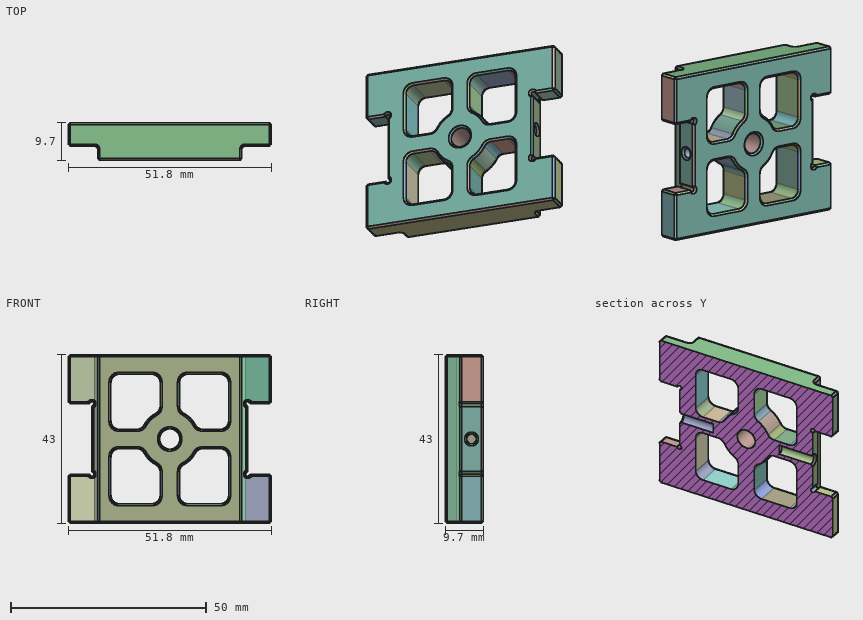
import cadquery as cq
import math

WIDTH = 51.8
THICKNESS = 9.7
HEIGHT = 43.0

CHAMFER = 0.5

FLANGE_THICKNESS = 6.0
PAD_WIDTH = 36.8
STEP_FILLET = 0.95

NOTCH_DEPTH = 6.0
NOTCH_HEIGHT = 18.05
RELIEF_RADIUS = 0.5
RELIEF_REACH = 2.05

CENTRE_HOLE_RADIUS = 2.6
BOSS_RADIUS = 7.45
RIB_WIDTH = 4.95
WINDOW_OUTER_X = 15.0
WINDOW_OUTER_Z = 16.5
WINDOW_FILLET = 2.05

SIDE_HOLE_RADIUS = 1.25
SIDE_HOLE_DEPTH = 10.0

FRONT_Y = -THICKNESS / 2
BACK_Y = THICKNESS / 2
STEP_Y = BACK_Y - FLANGE_THICKNESS
NOTCH_X = WIDTH / 2 - NOTCH_DEPTH
SIDE_HOLE_Y = BACK_Y - FLANGE_THICKNESS / 2

TOLERANCE = 5.18e-05


def stepped_plate():
    """T-shaped section, extruded along Z, with a fillet in each step corner."""
    plate = cq.Workplane("XY").box(WIDTH, THICKNESS, HEIGHT)
    step_width = (WIDTH - PAD_WIDTH) / 2
    step_depth = STEP_Y - FRONT_Y
    for side in (-1, 1):
        step = cq.Workplane("XY").box(step_width, step_depth, HEIGHT)
        step_x = side * (PAD_WIDTH + step_width) / 2
        plate = plate.cut(step.translate((step_x, FRONT_Y + step_depth / 2, 0)))
    inner_corners = cq.selectors.BoxSelector(
        (-PAD_WIDTH / 2 - TOLERANCE, STEP_Y - TOLERANCE, -HEIGHT),
        (PAD_WIDTH / 2 + TOLERANCE, STEP_Y + TOLERANCE, HEIGHT),
    )
    return plate.edges("|Z").edges(inner_corners).fillet(STEP_FILLET)


def cut_notches(plate):
    """Rectangular notch through the flange in the middle of each side edge."""
    for side in (-1, 1):
        notch = cq.Workplane("XY").box(NOTCH_DEPTH, THICKNESS, NOTCH_HEIGHT)
        plate = plate.cut(notch.translate((side * (NOTCH_X + NOTCH_DEPTH / 2), 0, 0)))
    return plate


def is_outer_edge(edge):
    """True for convex edges; false for notch corners and where the step fillets blend in."""
    centre = edge.Center()
    tangent = edge.tangentAt(0.5)
    along_y = abs(tangent.y) > 0.5 - TOLERANCE
    along_z = abs(tangent.z) > 0.5 - TOLERANCE
    in_notch_corner = along_y and abs(centre.x) < NOTCH_X + TOLERANCE
    fillet_top_x = PAD_WIDTH / 2 + STEP_FILLET
    blends_flange = along_z and abs(abs(centre.x) - fillet_top_x) < TOLERANCE
    blends_pad = along_z and abs(centre.y - (STEP_Y - STEP_FILLET)) < TOLERANCE
    return not (in_notch_corner or blends_flange or blends_pad)


def chamfer_outer_edges(plate):
    """Break every convex edge of the notched plate."""
    outer_edges = [edge for edge in plate.edges().vals() if is_outer_edge(edge)]
    return plate.newObject(outer_edges).chamfer(CHAMFER)


def relief_slot(slope):
    """Slot cutter at 45 degrees through the flange, flared at both faces by the chamfer."""
    angle = slope * 45
    width = 2 * RELIEF_RADIUS
    wide = width + 2 * CHAMFER
    front = cq.Workplane("XZ", origin=(0, STEP_Y, 0))
    back = cq.Workplane("XZ", origin=(0, BACK_Y, 0))
    slot = back.slot2D(RELIEF_REACH + width, width, angle).extrude(FLANGE_THICKNESS)
    slot = slot.union(back.slot2D(RELIEF_REACH + wide, wide, angle).extrude(CHAMFER, taper=45))
    slot = slot.union(front.slot2D(RELIEF_REACH + wide, wide, angle).extrude(-CHAMFER, taper=45))
    return slot.union(front.slot2D(RELIEF_REACH + wide, wide, angle).extrude(STEP_FILLET))


def cut_reliefs(plate):
    """Diagonal slot in each notch corner: its round end is centred on the corner."""
    shift = RELIEF_REACH / 2 * math.sqrt(0.5)
    for side_x in (-1, 1):
        for side_z in (-1, 1):
            corner_x = side_x * (NOTCH_X + shift)
            corner_z = side_z * (NOTCH_HEIGHT / 2 - shift)
            slot = relief_slot(-side_x * side_z)
            plate = plate.cut(slot.translate((corner_x, 0, corner_z)))
    return plate


def window_cutter():
    """Window in the +X +Z quarter: a rounded rectangle whose inner corner follows the boss."""
    inner = RIB_WIDTH / 2
    size_x = WINDOW_OUTER_X - inner
    size_z = WINDOW_OUTER_Z - inner
    block = cq.Workplane("XY").box(size_x, THICKNESS, size_z, centered=(False, True, False))
    block = block.translate((inner, 0, inner))
    boss = cq.Workplane("XZ").circle(BOSS_RADIUS).extrude(THICKNESS / 2, both=True)
    return block.cut(boss).edges("|Y").fillet(WINDOW_FILLET)


def cut_through_openings(plate):
    """Four windows and the central hole, chamfered on both faces."""
    window = window_cutter()
    for cutter in (window, window.mirror("YZ")):
        plate = plate.cut(cutter).cut(cutter.mirror("XY"))
    centre_hole = cq.Workplane("XZ").circle(CENTRE_HOLE_RADIUS).extrude(THICKNESS / 2, both=True)
    plate = plate.cut(centre_hole)
    limit_x = WINDOW_OUTER_X + CHAMFER
    limit_z = WINDOW_OUTER_Z + CHAMFER
    inside = cq.selectors.BoxSelector((-limit_x, -THICKNESS, -limit_z), (limit_x, THICKNESS, limit_z))
    return plate.faces("<Y or >Y").edges(inside).chamfer(CHAMFER)


def cut_side_holes(plate):
    """Blind hole with a chamfered mouth in the middle of each notch floor."""
    mouth_radius = SIDE_HOLE_RADIUS + CHAMFER
    for side in (-1, 1):
        inward = cq.Vector(-side, 0, 0)
        mouth = cq.Vector(side * NOTCH_X, SIDE_HOLE_Y, 0)
        bore = cq.Solid.makeCylinder(SIDE_HOLE_RADIUS, SIDE_HOLE_DEPTH, mouth, inward)
        cone = cq.Solid.makeCone(mouth_radius, SIDE_HOLE_RADIUS, CHAMFER, mouth, inward)
        plate = plate.cut(cq.Workplane(bore)).cut(cq.Workplane(cone))
    return plate


result = stepped_plate()
result = cut_notches(result)
result = chamfer_outer_edges(result)
result = cut_reliefs(result)
result = cut_through_openings(result)
result = cut_side_holes(result)